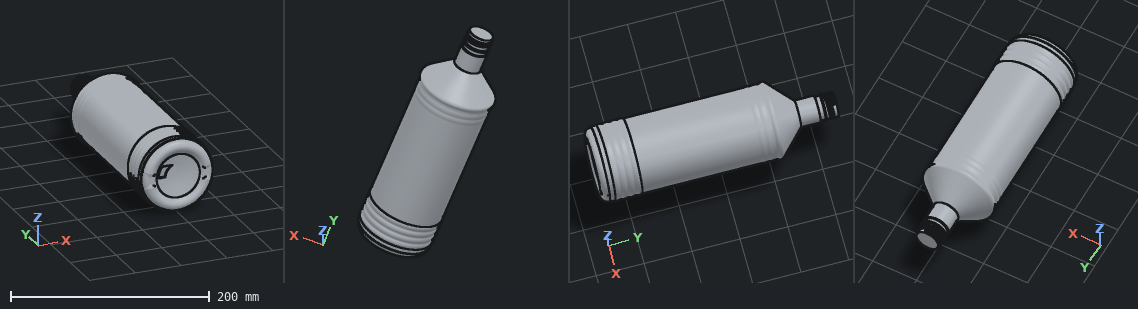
import cadquery as cq
import math


height = 253.7
body_r = 39.3

foot_r = 38.5
step_z = 7.9
foot_round = 7.0
foot_inner_r = 27.0
panel_r = 23.5
panel_edge_z = 3.8
panel_rise = 2.3
panel_pocket_inner_r = 13.2
panel_pocket_outer_r = 21.3
panel_pocket_width = 12.2
panel_pocket_deep_z = 7.0
panel_pocket_shallow_z = 5.3

notch_half_angle = 14.0
notch_flat_inner_r = 30.5
notch_flat_outer_r = 32.5
notch_wall_run = 5.0
notch_wall_taper = 0.25

lower_rib_count = 4
lower_rib_start_z = 13.5
lower_rib_width = 6.0
lower_rib_pitch = 7.4
lower_rib_height = 0.8
upper_rib_count = 2
upper_rib_start_z = 167.2
upper_rib_width = 6.0
upper_rib_pitch = 6.8
upper_rib_height = 0.38

bead_r = 81.5 / 2
bead_round = 4.0
bead_top_angle = math.radians(45)
bead_hollow_angle = math.radians(36)
bead_z = 186.5
neck_r = 14.2
neck_bottom_z = 213.9
neck_top_z = 234.5
finish_r = 12.7
collar_r = 14.2
collar_bottom_z = 239.7
collar_height = 1.0

thread_pitch = 3.0
thread_turns = 2.3
thread_start_z = 243.8
thread_start_angle = 180
thread_height = 0.8
thread_root_width = 2.0
thread_crest_width = 0.8
thread_sink = 0.3

notch_round = foot_r - notch_flat_outer_r
notch_depth = foot_round - notch_round

foot_centre_r = foot_r - foot_round
foot_inner_angle = math.acos((foot_centre_r - foot_inner_r) / foot_round)
foot_inner_z = foot_round * (1 - math.sin(foot_inner_angle))


def add_ribs(profile, start_z, count, width, pitch, rib_height):
    """Continue an upward body outline with arched ribs joined by tangent round valleys."""
    half = width / 2
    crest_round = (half**2 + rib_height**2) / (2 * rib_height)
    valley_round = ((pitch / 2) ** 2 + rib_height**2) / (2 * rib_height) - crest_round
    blend = crest_round / (crest_round + valley_round)
    blend_offset = blend * pitch / 2
    crest_centre_r = body_r + rib_height - crest_round
    blend_r = crest_centre_r + blend * (body_r + valley_round - crest_centre_r)

    profile = profile.lineTo(body_r, start_z)
    for i in range(count):
        centre_z = start_z + half + i * pitch
        crest = (body_r + rib_height, centre_z)
        if i < count - 1:
            profile = profile.threePointArc(crest, (blend_r, centre_z + blend_offset))
            valley = (body_r, centre_z + pitch / 2)
            profile = profile.threePointArc(valley, (blend_r, centre_z + pitch - blend_offset))
        else:
            profile = profile.threePointArc(crest, (body_r, centre_z + half))
    return profile


def make_body():
    """Revolve the outline from the base centre up to the mouth."""
    bead_centre_r = bead_r - bead_round
    bead_top = (
        bead_centre_r + bead_round * math.cos(bead_top_angle),
        bead_z + bead_round * math.sin(bead_top_angle),
    )
    bead_low_r = bead_centre_r + bead_round * math.cos(bead_hollow_angle)
    bead_low_z = bead_z - bead_round * math.sin(bead_hollow_angle)
    hollow_round = (bead_low_r - body_r) / (1 - math.cos(bead_hollow_angle))
    hollow_low_z = bead_low_z - hollow_round * math.sin(bead_hollow_angle)
    hollow_mid = (
        body_r + hollow_round * (1 - math.cos(bead_hollow_angle / 2)),
        hollow_low_z + hollow_round * math.sin(bead_hollow_angle / 2),
    )

    panel_round = (panel_r**2 + panel_rise**2) / (2 * panel_rise)
    panel_mid_angle = math.asin(panel_r / panel_round) / 2
    panel_mid = (
        panel_round * math.sin(panel_mid_angle),
        panel_edge_z + panel_rise - panel_round * (1 - math.cos(panel_mid_angle)),
    )

    profile = (
        cq.Workplane("XZ")
        .moveTo(0, panel_edge_z + panel_rise)
        .threePointArc(panel_mid, (panel_r, panel_edge_z))
        .lineTo(foot_inner_r, foot_inner_z)
        .threePointArc((foot_centre_r, 0), (foot_r, foot_round))
        .lineTo(foot_r, step_z)
        .lineTo(body_r, step_z)
    )
    profile = add_ribs(
        profile, lower_rib_start_z, lower_rib_count, lower_rib_width, lower_rib_pitch, lower_rib_height
    )
    profile = add_ribs(
        profile, upper_rib_start_z, upper_rib_count, upper_rib_width, upper_rib_pitch, upper_rib_height
    )
    return (
        profile.lineTo(body_r, hollow_low_z)
        .threePointArc(hollow_mid, (bead_low_r, bead_low_z))
        .threePointArc((bead_r, bead_z), bead_top)
        .lineTo(neck_r, neck_bottom_z)
        .lineTo(neck_r, neck_top_z)
        .lineTo(finish_r, neck_top_z)
        .lineTo(finish_r, collar_bottom_z)
        .lineTo(collar_r, collar_bottom_z)
        .lineTo(collar_r, collar_bottom_z + collar_height)
        .lineTo(finish_r, collar_bottom_z + collar_height)
        .lineTo(finish_r, height)
        .lineTo(0, height)
        .close()
        .revolve(360, (0, 0), (0, 1))
    )


def make_notch():
    """Shallow notch across the foot ring on +X, with sloped ends that follow the ring section."""
    sweep = 2 * notch_half_angle
    floor_mid = (
        notch_flat_outer_r + notch_round * math.cos(math.pi / 4),
        foot_round - notch_round * math.sin(math.pi / 4),
    )
    notch = (
        cq.Workplane("XZ")
        .moveTo(foot_r, -notch_depth)
        .lineTo(foot_r, foot_round)
        .threePointArc(floor_mid, (notch_flat_outer_r, notch_depth))
        .lineTo(notch_flat_inner_r, notch_depth)
        .tangentArcPoint((foot_inner_r, foot_inner_z), relative=False)
        .lineTo(foot_inner_r, -notch_depth)
        .close()
        .revolve(sweep, (0, 0), (0, 1))
        .rotate((0, 0, 0), (0, 0, 1), -notch_half_angle)
    )
    end_round = foot_round - notch_wall_taper * notch_wall_run
    for side in (-1, 1):
        angle = math.radians(side * notch_half_angle)
        centre = cq.Vector(foot_centre_r * math.cos(angle), foot_centre_r * math.sin(angle), foot_round)
        inward = cq.Vector(side * math.sin(angle), -side * math.cos(angle), 0)
        wall = cq.Solid.makeCone(foot_round, end_round, notch_wall_run, centre, inward)
        notch = notch.cut(cq.Workplane(wall))
    return notch


def make_panel_pocket():
    """Curved recess in the centre panel: a strip of a ring whose floor slopes down to one side."""
    ring = (
        cq.Workplane("XY")
        .circle(panel_pocket_outer_r)
        .circle(panel_pocket_inner_r)
        .extrude(panel_pocket_deep_z)
    )
    wedge = (
        cq.Workplane("YZ")
        .lineTo(0, panel_pocket_deep_z)
        .lineTo(-panel_pocket_width, panel_pocket_shallow_z)
        .lineTo(-panel_pocket_width, 0)
        .close()
        .extrude(-panel_pocket_outer_r)
    )
    return ring.intersect(wedge)


def make_thread():
    """Right-handed trapezoidal thread around the finish."""
    root_r = finish_r - thread_sink
    helix = cq.Wire.makeHelix(thread_pitch, thread_pitch * thread_turns, root_r)
    return (
        cq.Workplane("XZ")
        .moveTo(root_r, -thread_root_width / 2)
        .lineTo(finish_r + thread_height, -thread_crest_width / 2)
        .lineTo(finish_r + thread_height, thread_crest_width / 2)
        .lineTo(root_r, thread_root_width / 2)
        .close()
        .sweep(cq.Workplane(helix), isFrenet=True)
        .rotate((0, 0, 0), (0, 0, 1), thread_start_angle)
        .translate((0, 0, thread_start_z))
    )


bottle = make_body()
for turn in (0, 180):
    bottle = bottle.cut(make_notch().rotate((0, 0, 0), (0, 0, 1), turn))
bottle = bottle.cut(make_panel_pocket())
bottle = bottle.union(make_thread())

result = bottle.rotate((0, 0, 0), (1, 0, 0), -90)